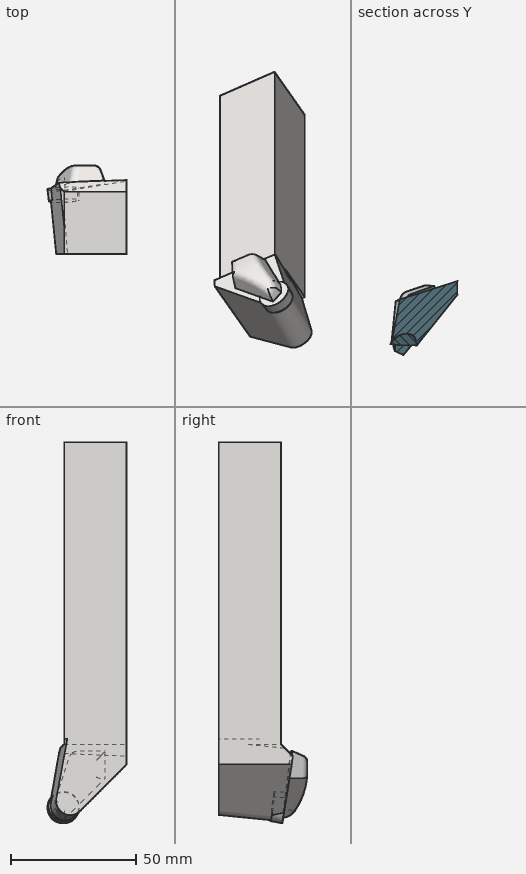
import cadquery as cq
import math

SHANK = 25.0
TOTAL_HEIGHT = 152.4
LEDGE_Z = 33.8
SHOULDER_Z = 31.7

CLEARANCE = 0.1
NOSE_RADIUS = 5.6
NOSE_X = 2.5
NOSE_Z = 9.0
SIDE_ANGLE = 10.5
HEAD_DEPTH = 45.7
HEAD_MARGIN = 15.2

RAKE_Y = 25.5
BACK_RAKE = 0.115
SIDE_RAKE = 0.045

INSERT_DIAMETER = 12.6
INSERT_THICKNESS = 4.7
INSERT_TAPER = 4.0
INSERT_X = -0.38

CLAMP_TOP_Y = 35.5
CLAMP_TAPER = 17.0
CLAMP_ROUND = 2.7
MIN_WALL = 0.3
CLAMP_FLAT_LOW_Z = 20.9
CLAMP_BEND_RADIUS = 27.5
CLAMP_CORNER_ROUND = 3.8
CLAMP_BACK_CORNER = (3.8, 33.5, 25.9)
CLAMP_OUTLINE = [
    (16.2, 29.0), (2.7, 29.0), (-3.7, 9.5), (-3.7, 5.5), (0.3, 2.1), (16.2, 18.0),
]

INSERT_Z = INSERT_DIAMETER / 2 * math.sqrt((1 + SIDE_RAKE**2) / (1 + SIDE_RAKE**2 + BACK_RAKE**2))

RAKE_PLANE = cq.Plane(
    origin=(0, RAKE_Y, 0),
    xDir=(1, SIDE_RAKE, 0),
    normal=(-SIDE_RAKE, 1, -BACK_RAKE),
)


def rake_height(x, z):
    return RAKE_Y + SIDE_RAKE * x + BACK_RAKE * z


def rake_point(x, z):
    """Place on the rake plane, in its own axes, of the point above (x, z)."""
    local = RAKE_PLANE.toLocalCoords(cq.Vector(x, rake_height(x, z), z))
    return (local.x, local.y)


def above_rake():
    return cq.Workplane(RAKE_PLANE).rect(2 * TOTAL_HEIGHT, 2 * TOTAL_HEIGHT).extrude(TOTAL_HEIGHT)


def make_shank():
    return cq.Workplane("XY", origin=(0, 0, LEDGE_Z)).rect(SHANK, SHANK, centered=False).extrude(
        TOTAL_HEIGHT - LEDGE_Z
    )


def leaning_head():
    """Pointed outline with a round nose, swept along the clearance direction."""
    def on_nose(degrees):
        angle = math.radians(degrees)
        return (NOSE_X + NOSE_RADIUS * math.cos(angle), NOSE_Z + NOSE_RADIUS * math.sin(angle))

    flank_start = on_nose(180 - SIDE_ANGLE)
    nose_middle = on_nose(240)
    slope_start = on_nose(-45)
    top = LEDGE_Z + HEAD_MARGIN
    right = SHANK + HEAD_MARGIN
    flank_top_x = flank_start[0] + (top - flank_start[1]) * math.tan(math.radians(SIDE_ANGLE))
    outline = (
        cq.Workplane("XZ")
        .moveTo(flank_top_x, top)
        .lineTo(*flank_start)
        .threePointArc(nose_middle, slope_start)
        .lineTo(right, slope_start[1] + right - slope_start[0])
        .lineTo(right, top)
        .close()
    )
    path = cq.Vector(-CLEARANCE, 1, -CLEARANCE) * HEAD_DEPTH
    return cq.Workplane(cq.Solid.extrudeLinear(cq.Face.makeFromWires(outline.val()), path))


def head_limits():
    """Space left for the head by the shank sides and the two 45 degree shoulders."""
    reach = SHOULDER_Z
    left_shoulder = [
        (SHANK, -reach), (SHANK, LEDGE_Z), (0, LEDGE_Z), (0, SHOULDER_Z), (-reach, 0), (-reach, -reach),
    ]
    back_shoulder = [
        (0, -reach), (0, LEDGE_Z), (SHANK, LEDGE_Z), (SHANK, SHOULDER_Z),
        (SHANK + reach, 0), (SHANK + reach, -reach),
    ]
    across = cq.Workplane("XZ").polyline(left_shoulder).close().extrude(-HEAD_DEPTH)
    along = cq.Workplane("YZ").polyline(back_shoulder).close().extrude(TOTAL_HEIGHT, both=True)
    return across.intersect(along)


def make_insert():
    return (
        cq.Workplane(RAKE_PLANE)
        .center(*rake_point(INSERT_X, INSERT_Z))
        .circle(INSERT_DIAMETER / 2)
        .extrude(-INSERT_THICKNESS, taper=INSERT_TAPER)
    )


def make_clamp():
    """Tapered finger with a bent, rounded top, pointing at the nose."""
    foot = [rake_point(x, z) for x, z in CLAMP_OUTLINE]
    finger = cq.Workplane(RAKE_PLANE).polyline(foot).close()
    finger = finger.extrude(CLAMP_TOP_Y - RAKE_Y, taper=CLAMP_TAPER)
    back_corner = finger.edges(cq.selectors.NearestToPointSelector(CLAMP_BACK_CORNER))
    finger = back_corner.fillet(CLAMP_CORNER_ROUND)
    bend_centre_y = CLAMP_TOP_Y - CLAMP_BEND_RADIUS
    bend_middle = (
        bend_centre_y + CLAMP_BEND_RADIUS * math.sqrt(0.5),
        CLAMP_FLAT_LOW_Z - CLAMP_BEND_RADIUS * math.sqrt(0.5),
    )
    top_cut = (
        cq.Workplane("YZ")
        .moveTo(CLAMP_TOP_Y, TOTAL_HEIGHT)
        .lineTo(CLAMP_TOP_Y, CLAMP_FLAT_LOW_Z)
        .threePointArc(bend_middle, (bend_centre_y, CLAMP_FLAT_LOW_Z - CLAMP_BEND_RADIUS))
        .lineTo(bend_centre_y, TOTAL_HEIGHT)
        .close()
        .extrude(TOTAL_HEIGHT, both=True)
    )
    finger = finger.intersect(top_cut)
    top_edges = finger.edges().filter(
        lambda edge: all(
            RAKE_PLANE.toLocalCoords(corner.Center()).z > MIN_WALL for corner in edge.Vertices()
        )
    )
    return top_edges.fillet(CLAMP_ROUND)


insert = make_insert()
head = leaning_head().intersect(head_limits()).cut(above_rake())
holder = make_shank().union(head).union(make_clamp()).cut(insert)

result = cq.Compound.makeCompound([holder.val(), insert.val()])